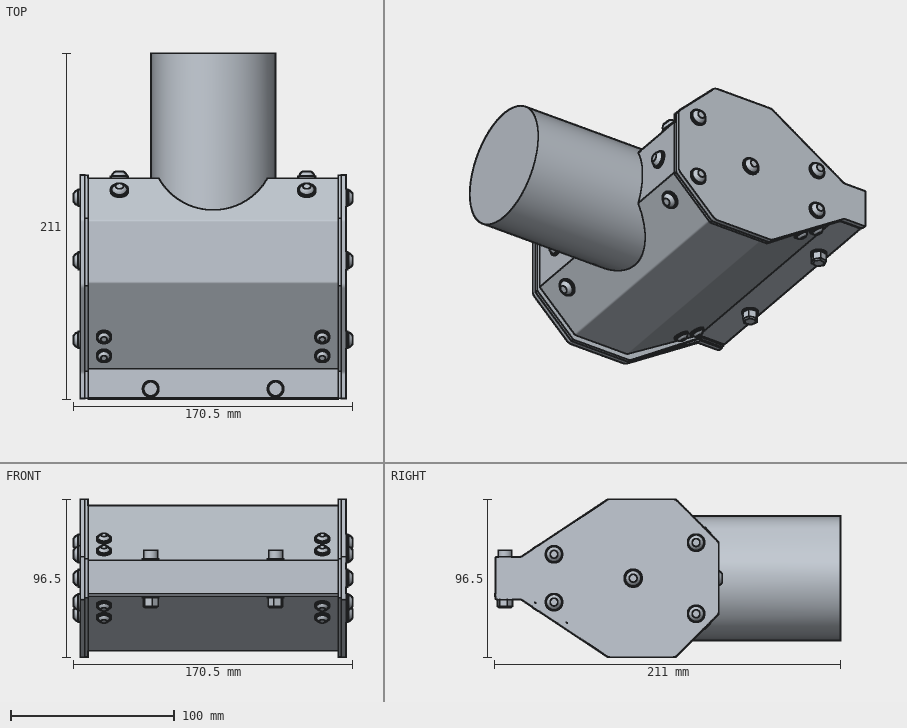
import cadquery as cq
import math


overall_x = 170.49
overall_y = 211.04
overall_z = 96.53
lip_front_y = -84.5
tube_end_y = lip_front_y + overall_y
tube_diameter = 76.2

body_half_x = 76.2
flange_thickness = 2.0
plate_thickness = 3.0
flange_half_x = body_half_x + flange_thickness
plate_half_x = flange_half_x + plate_thickness
side_head_height = overall_x / 2 - plate_half_x

plate_half_z = overall_z / 2
plate_rear_y = 52.3
plate_rear_half_z = 21.9
plate_top_rear_y = plate_rear_y - (plate_half_z - plate_rear_half_z)
plate_top_front_y = -15.4
plate_neck_y = -68.5
plate_neck_half_z = 13.0
plate_front_y = -84.1
plate_bend_radius = 5.0
plate_neck_radius = 3.0
plate_front_radius = 0.8

flange_inset = 0.1
flange_neck_y = -67.5
flange_neck_half_z = 12.0

body_half_z = 44.4
body_rear_y = 50.4
body_rear_half_z = 18.6
body_top_rear_y = body_rear_y - (body_half_z - body_rear_half_z)
body_top_front_y = -13.4
body_neck_y = -66.0
body_neck_half_z = 11.0
body_front_y = -83.7
body_bend_radius = 2.0
lip_thickness = 1.5

screw_washer_thickness = 1.0
head_rim_height = 0.4
head_tip_ratio = 0.5
side_washer_diameter = 10.5
side_head_diameter = 9.5
centre_washer_diameter = 11.0
centre_head_diameter = 9.5
rear_washer_diameter = 11.0
rear_head_diameter = 9.5
rear_head_height = 4.1
front_washer_diameter = 9.0
front_head_diameter = 7.6
front_head_height = 3.4

side_rear_screw_y = 38.4
side_rear_screw_z = 21.7
side_front_screw_y = -48.3
side_front_screw_z = 14.6
rear_screw_x = 57.15
rear_slope_screw_distance = 11.1
front_screw_x = 66.6
front_screw_ys = (-46.3, -57.8)

bolt_x = 38.1
bolt_y = -78.2
bolt_washer_diameter = 10.0
bolt_washer_thickness = 1.0
bolt_head_diameter = 8.5
bolt_head_height = 5.2
nut_corner_diameter = 9.5
nut_height = 6.0
nut_chamfer = 1.0
nut_turn = 12.0


def mirrored_outline(upper_points, half_x):
    """Prism spanning +-half_x from an outline mirrored about Z = 0."""
    lower_points = [(y, -z) for y, z in reversed(upper_points)]
    outline = cq.Workplane("YZ").polyline(upper_points + lower_points).close()
    return outline.extrude(half_x, both=True)


def round_corner(solid, y, z, radius):
    """Round the X-direction edges at (y, +-z)."""
    reach = 0.1
    for side in (1, -1):
        box = cq.selectors.BoxSelector(
            (-overall_x, y - reach, side * z - reach),
            (overall_x, y + reach, side * z + reach),
        )
        solid = solid.edges("|X").edges(box).fillet(radius)
    return solid


def make_body():
    """Housing between the flanges, with its bent top and bottom and the front lip."""
    body = mirrored_outline(
        [
            (body_rear_y, body_rear_half_z),
            (body_top_rear_y, body_half_z),
            (body_top_front_y, body_half_z),
            (body_neck_y, body_neck_half_z),
            (body_front_y, body_neck_half_z),
        ],
        body_half_x,
    )
    body = round_corner(body, body_top_rear_y, body_half_z, body_bend_radius)
    body = round_corner(body, body_top_front_y, body_half_z, body_bend_radius)
    lip = cq.Workplane("XY").box(
        2 * body_half_x, body_neck_y - lip_front_y, lip_thickness, centered=(True, False, False)
    )
    return body.union(lip.translate((0, lip_front_y, -body_neck_half_z)))


def end_slices(solid, inner_half_x):
    """Keep only the two end slices of a prism beyond +-inner_half_x."""
    core = cq.Workplane("XY").box(2 * inner_half_x, 2 * overall_y, 2 * overall_z)
    return solid.cut(core)


def make_flanges():
    """Inner layer of each end, between the body and the side plate."""
    flange = mirrored_outline(
        [
            (plate_rear_y - flange_inset, plate_rear_half_z),
            (plate_top_rear_y, plate_half_z - flange_inset),
            (plate_top_front_y, plate_half_z - flange_inset),
            (flange_neck_y, flange_neck_half_z),
            (plate_front_y + flange_inset, flange_neck_half_z),
        ],
        flange_half_x,
    )
    return end_slices(flange, body_half_x)


def make_side_plates():
    """Outer layer of each end, with rounded outline corners."""
    plate = mirrored_outline(
        [
            (plate_rear_y, plate_rear_half_z),
            (plate_top_rear_y, plate_half_z),
            (plate_top_front_y, plate_half_z),
            (plate_neck_y, plate_neck_half_z),
            (plate_front_y, plate_neck_half_z),
        ],
        plate_half_x,
    )
    plate = round_corner(plate, plate_rear_y, plate_rear_half_z, plate_bend_radius)
    plate = round_corner(plate, plate_top_rear_y, plate_half_z, plate_bend_radius)
    plate = round_corner(plate, plate_top_front_y, plate_half_z, plate_bend_radius)
    plate = round_corner(plate, plate_neck_y, plate_neck_half_z, plate_neck_radius)
    plate = round_corner(plate, plate_front_y, plate_neck_half_z, plate_front_radius)
    return end_slices(plate, flange_half_x)


def make_tube():
    """Outlet tube, running from inside the housing to its free end."""
    return cq.Workplane("XZ").circle(tube_diameter / 2).extrude(-tube_end_y)


def button_head(washer_diameter, head_diameter, height, base, normal):
    """Washer and domed screw head with a flat tip, standing at base along normal."""
    washer_radius = washer_diameter / 2
    head_radius = head_diameter / 2
    tip_radius = head_tip_ratio * head_radius
    rim_top = screw_washer_thickness + head_rim_height
    centre_height = (height**2 + tip_radius**2 - rim_top**2 - head_radius**2) / (2 * (height - rim_top))
    dome_radius = math.hypot(head_radius, rim_top - centre_height)
    rim_angle = math.atan2(rim_top - centre_height, head_radius)
    tip_angle = math.atan2(height - centre_height, tip_radius)
    middle_angle = (rim_angle + tip_angle) / 2
    dome_middle = (
        dome_radius * math.cos(middle_angle),
        centre_height + dome_radius * math.sin(middle_angle),
    )
    profile = (
        cq.Workplane("XZ")
        .lineTo(washer_radius, 0)
        .lineTo(washer_radius, screw_washer_thickness)
        .lineTo(head_radius, screw_washer_thickness)
        .lineTo(head_radius, rim_top)
        .threePointArc(dome_middle, (tip_radius, height))
        .lineTo(0, height)
        .close()
    )
    head = profile.revolve(360, (0, 0), (0, 1))
    plane = cq.Plane(origin=base, normal=normal)
    return head.val().moved(cq.Location(plane))


def side_screws():
    """Four corner screws and one larger centre screw on each side plate."""
    corner_places = [
        (y, side * z)
        for y, z in (
            (side_rear_screw_y, side_rear_screw_z),
            (side_front_screw_y, side_front_screw_z),
        )
        for side in (1, -1)
    ]
    heads = []
    for side in (1, -1):
        normal = (side, 0, 0)
        face_x = side * plate_half_x
        heads.append(
            button_head(
                centre_washer_diameter, centre_head_diameter, side_head_height, (face_x, 0, 0), normal
            )
        )
        for y, z in corner_places:
            heads.append(
                button_head(
                    side_washer_diameter, side_head_diameter, side_head_height, (face_x, y, z), normal
                )
            )
    return heads


def rear_screw(base, normal):
    return button_head(rear_washer_diameter, rear_head_diameter, rear_head_height, base, normal)


def rear_screws():
    """Screws on the flat rear face and on both 45 degree rear slopes."""
    drop = rear_slope_screw_distance * math.sqrt(0.5)
    slope_y = body_rear_y - drop
    slope_z = body_rear_half_z + drop
    heads = []
    for x in (-rear_screw_x, rear_screw_x):
        heads.append(rear_screw((x, body_rear_y, 0), (0, 1, 0)))
        for side in (1, -1):
            heads.append(rear_screw((x, slope_y, side * slope_z), (0, 1, side)))
    return heads


def front_screw(base, normal):
    return button_head(front_washer_diameter, front_head_diameter, front_head_height, base, normal)


def front_screws():
    """Pairs of screws near each end of the upper and lower front slopes."""
    run = body_top_front_y - body_neck_y
    rise = body_half_z - body_neck_half_z
    heads = []
    for x in (-front_screw_x, front_screw_x):
        for y in front_screw_ys:
            z = body_neck_half_z + (y - body_neck_y) * rise / run
            for side in (1, -1):
                heads.append(front_screw((x, y, side * z), (0, -rise, side * run)))
    return heads


def neck_bolt(side):
    """Clamping bolt on the +X or -X side: round head above the neck, hexagon nut below."""
    grip_half_length = body_neck_half_z + bolt_washer_thickness
    washers = cq.Workplane("XY").circle(bolt_washer_diameter / 2).extrude(grip_half_length, both=True)
    head = cq.Workplane("XY").workplane(offset=grip_half_length)
    head = head.circle(bolt_head_diameter / 2).extrude(bolt_head_height)
    nut = cq.Workplane("XY").workplane(offset=-grip_half_length)
    nut = nut.polygon(6, nut_corner_diameter).extrude(-nut_height)
    nut = nut.faces("<Z").chamfer(nut_chamfer)
    nut = nut.rotate((0, 0, 0), (0, 0, 1), -90 - side * nut_turn)
    bolt = washers.union(head).union(nut)
    return bolt.translate((side * bolt_x, bolt_y, 0))


result = make_body().union(make_flanges()).union(make_side_plates()).union(make_tube())
for screw in side_screws() + rear_screws() + front_screws():
    result = result.union(cq.Workplane(screw))
for bolt_side in (-1, 1):
    result = result.union(neck_bolt(bolt_side))